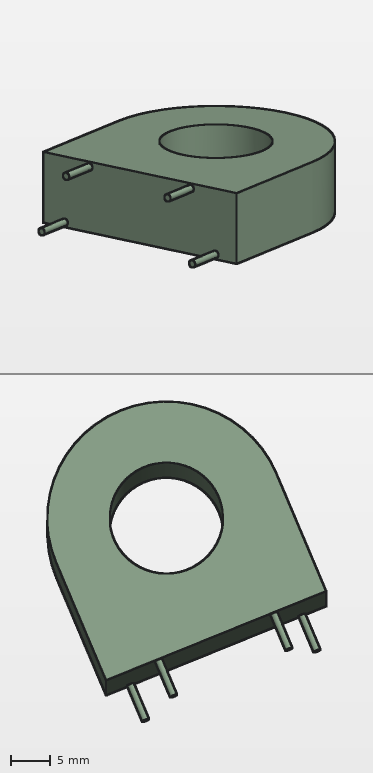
import cadquery as cq

total_length = 36.95
body_width = 30.5
body_height = 9.5

hole_diameter = 14.5

pin_length = 5.05
pin_diameter = 1.0
upper_pin_spacing = 15.95
lower_pin_spacing = 23.72
pin_row_spacing = 8.13

end_radius = body_width / 2
front_y = end_radius - (total_length - pin_length)


def bottom_plane():
    """Workplane on the underside of the body."""
    return cq.Workplane("XY", origin=(0, 0, -body_height / 2))


def make_body():
    """Block with a full-round back end and a concentric through hole."""
    outline = (
        bottom_plane()
        .moveTo(-end_radius, front_y)
        .lineTo(end_radius, front_y)
        .lineTo(end_radius, 0)
        .threePointArc((0, end_radius), (-end_radius, 0))
        .close()
    )
    block = outline.extrude(body_height)
    return block.cut(bottom_plane().circle(hole_diameter / 2).extrude(body_height))


def make_pins():
    """Two rows of round pins standing out of the flat front face."""
    upper_x = upper_pin_spacing / 2
    lower_x = lower_pin_spacing / 2
    row_z = pin_row_spacing / 2
    centres = [(-upper_x, row_z), (upper_x, row_z), (-lower_x, -row_z), (lower_x, -row_z)]
    return (
        cq.Workplane("XZ", origin=(0, front_y, 0))
        .pushPoints(centres)
        .circle(pin_diameter / 2)
        .extrude(pin_length)
    )


result = make_body().union(make_pins())